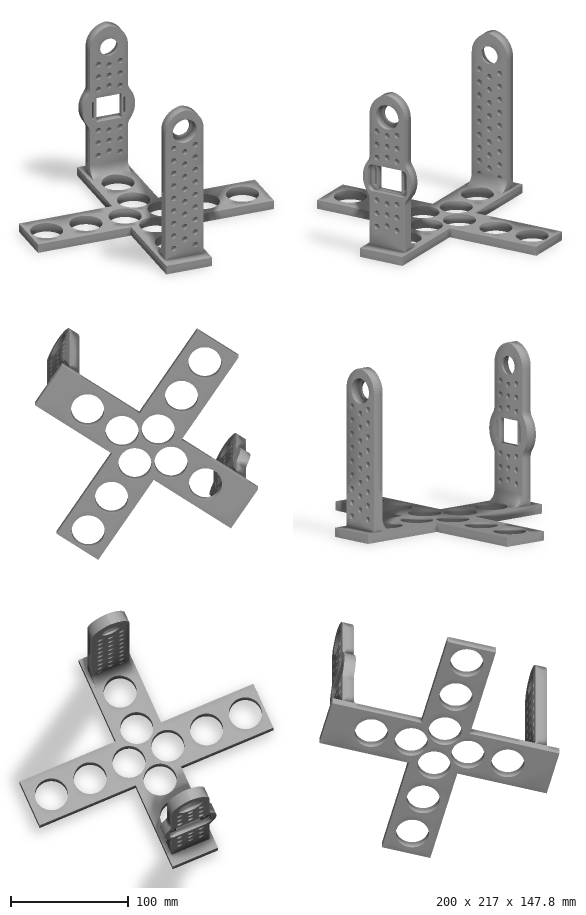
import cadquery as cq
import math

base_length_x = 200.0
base_length_y = 217.0
arm_y_shift = 1.7
arm_x_width = 42.0
arm_y_width = 42.5
base_thickness = 8.0
base_hole_diameter = 28.2
arm_x_hole_places = (25.0, 60.1)
arm_y_hole_pitch = 36.0
arm_y_hole_count = 6

post_thickness = 10.0
post_end_margin = 10.0
post_width = 35.0
post_spring_z = 128.0
arch_radius = 20.0
root_fillet_radius = 10.0
post_outer_x = base_length_x / 2 - post_end_margin
post_inner_x = post_outer_x - post_thickness

bearing_diameter = 22.1
bearing_depth = 8.0
shaft_hole_diameter = 16.0

small_hole_diameter = 5.0
column_offset = 10.0
side_pitch = 12.0
plain_side_count = 9
plain_side_bottom_z = 18.0
plain_side_shift = -0.2
plain_middle_count = 8
plain_middle_bottom_z = 25.0
group_count = 3
side_group_bottoms = (26.5, 89.5)
side_group_shift = 0.2
middle_group_pitch = 10.0
middle_group_bottoms = (28.9, 91.1)

bulge_radius = 24.0
bulge_z = 70.3
bulge_blend_radius = 10.0
pocket_z = 70.0
pocket_shift = -0.2
pocket_width = 38.6
pocket_height = 24.3
pocket_corner_radius = 5.0
pocket_depth = 4.5
window_shift = 0.2
window_width = 23.0
window_height = 23.0
slot_length = 16.5
slot_width = 2.0
slot_offset = 14.5


def inner_face():
    """YZ sketch plane on the inner face of the +X post."""
    return cq.Workplane("YZ", origin=(post_inner_x, 0, 0))


def outer_face():
    """YZ sketch plane on the outer face of the +X post."""
    return cq.Workplane("YZ", origin=(post_outer_x, 0, 0))


def make_base():
    arm_x = cq.Workplane("XY").rect(base_length_x, arm_x_width).extrude(base_thickness)
    arm_y = cq.Workplane("XY").center(0, arm_y_shift).rect(arm_y_width, base_length_y).extrude(base_thickness)
    return arm_x.union(arm_y)


def base_hole_cutters():
    """Round holes along both arms, tall enough to trim the post root fillets."""
    x_places = [(side * x, 0) for side in (-1, 1) for x in arm_x_hole_places]
    first_y = -arm_y_hole_pitch * (arm_y_hole_count - 1) / 2
    y_places = [(0, first_y + i * arm_y_hole_pitch) for i in range(arm_y_hole_count)]
    cut_height = base_thickness + root_fillet_radius
    return (
        cq.Workplane("XY")
        .pushPoints(x_places + y_places)
        .circle(base_hole_diameter / 2)
        .extrude(cut_height)
    )


def make_post():
    """Post with a pointed arch top, built at the +X end."""
    half_width = post_width / 2
    arch_rise = math.sqrt(arch_radius**2 - (arch_radius - half_width) ** 2)
    return (
        inner_face()
        .moveTo(-half_width, base_thickness)
        .lineTo(half_width, base_thickness)
        .lineTo(half_width, post_spring_z)
        .radiusArc((0, post_spring_z + arch_rise), -arch_radius)
        .radiusArc((-half_width, post_spring_z), -arch_radius)
        .close()
        .extrude(post_thickness)
    )


def post_cutter(sketch):
    """Extrude a sketch placed on the inner post face through the whole post."""
    return sketch.extrude(post_thickness)


def bearing_cutter():
    """Shaft hole with a wider bearing seat sunk from the outer face."""
    shaft_hole = post_cutter(inner_face().center(0, post_spring_z).circle(shaft_hole_diameter / 2))
    seat = (
        outer_face()
        .center(0, post_spring_z)
        .circle(bearing_diameter / 2)
        .extrude(-bearing_depth)
    )
    return shaft_hole.union(seat)


def column(y, bottom_z, pitch, count):
    """Hole centres stacked upward from bottom_z."""
    return [(y, bottom_z + i * pitch) for i in range(count)]


def small_hole_cutters(places):
    return post_cutter(inner_face().pushPoints(places).circle(small_hole_diameter / 2))


def plain_post_hole_places():
    places = column(0, plain_middle_bottom_z, side_pitch, plain_middle_count)
    for side in (-1, 1):
        y = plain_side_shift + side * column_offset
        places += column(y, plain_side_bottom_z, side_pitch, plain_side_count)
    return places


def pocket_post_hole_places():
    places = []
    for bottom_z in middle_group_bottoms:
        places += column(0, bottom_z, middle_group_pitch, group_count)
    for bottom_z in side_group_bottoms:
        for side in (-1, 1):
            y = side_group_shift + side * column_offset
            places += column(y, bottom_z, side_pitch, group_count)
    return places


def add_bulge(post):
    """Add the round bulge and blend it into the post edges."""
    bulge = inner_face().center(0, bulge_z).circle(bulge_radius).extrude(post_thickness)
    half_width = post_width / 2
    meet_height = math.sqrt(bulge_radius**2 - half_width**2)
    blended = post.union(bulge)
    for y in (-half_width, half_width):
        for z in (bulge_z - meet_height, bulge_z + meet_height):
            corner = cq.selectors.NearestToPointSelector((post_inner_x + post_thickness / 2, y, z))
            blended = blended.edges("|X").edges(corner).fillet(bulge_blend_radius)
    return blended


def pocket_cutter():
    """Outer pocket with a central window and two strap slots through its floor."""
    pocket = (
        outer_face()
        .center(pocket_shift, pocket_z)
        .rect(pocket_width, pocket_height)
        .extrude(-pocket_depth)
        .edges("|X")
        .fillet(pocket_corner_radius)
    )
    window = post_cutter(inner_face().center(window_shift, pocket_z).rect(window_width, window_height))
    slots = post_cutter(
        inner_face()
        .center(pocket_shift, pocket_z)
        .pushPoints([(-slot_offset, 0), (slot_offset, 0)])
        .slot2D(slot_length, slot_width, 90)
    )
    return pocket.union(window).union(slots)


def make_root_fillet():
    """Concave fillet along the inner foot of a post; it closes the holes behind it."""
    top_z = base_thickness + root_fillet_radius
    tip_x = post_inner_x - root_fillet_radius
    return (
        cq.Workplane("XZ", origin=(0, post_width / 2, 0))
        .moveTo(post_inner_x, base_thickness)
        .lineTo(post_inner_x, top_z)
        .radiusArc((tip_x, base_thickness), root_fillet_radius)
        .close()
        .extrude(post_width)
    )


blank_post = make_post()
root_fillet = make_root_fillet()

plain_post = (
    blank_post.cut(bearing_cutter())
    .cut(small_hole_cutters(plain_post_hole_places()))
    .union(root_fillet)
)
pocket_post = (
    add_bulge(blank_post)
    .cut(bearing_cutter())
    .cut(small_hole_cutters(pocket_post_hole_places()))
    .cut(pocket_cutter())
    .union(root_fillet)
    .mirror("YZ")
)

result = make_base().union(plain_post).union(pocket_post).cut(base_hole_cutters())